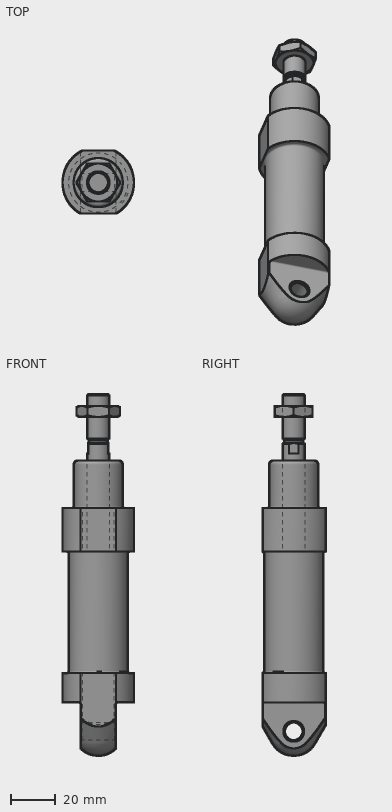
import cadquery as cq
import math

TOTAL_HEIGHT = 162.0
NUT_TOP = 156.8
THREAD_BOTTOM = 142.2
GROOVE_BOTTOM = 139.6
ROD_FLAT_BOTTOM = 135.5
NECK_TOP = 132.4
FRONT_COLLAR_TOP = 111.1
FRONT_COLLAR_BOTTOM = 91.5
REAR_COLLAR_TOP = 37.1
REAR_COLLAR_BOTTOM = 24.0

COLLAR_RADIUS = 16.0
NEAR_FLAT_OFFSET = 14.0
FAR_FLAT_OFFSET = 14.4
TUBE_DIAMETER = 26.5
TUBE_ROOT_FILLET = 0.8
NECK_DIAMETER = 22.0
NECK_FILLET = 2.0
NECK_ROOT_FILLET = 0.5

LUG_HALF_WIDTH = math.sqrt(COLLAR_RADIUS**2 - NEAR_FLAT_OFFSET**2)
LUG_ROOT_FILLET = 0.6
TIP_RADIUS = 11.0
CONE_SLOPE = math.radians(60)
PIVOT_HOLE_DIAMETER = 8.0
PIVOT_HOLE_CHAMFER = 0.6

ROD_DIAMETER = 10.0
ROD_TIP_CHAMFER = 0.6
GROOVE_DIAMETER = 8.6
GROOVE_CHAMFER = (ROD_DIAMETER - GROOVE_DIAMETER) / 2
ROD_ACROSS_FLATS = 9.0
ROD_SOCKET_BOTTOM = FRONT_COLLAR_BOTTOM

NUT_HEIGHT = 5.0
NUT_ACROSS_FLATS = 17.0
NUT_ACROSS_CORNERS = NUT_ACROSS_FLATS / math.cos(math.pi / 6)
NUT_CHAMFER_ANGLE = math.radians(30)


def cylinder(diameter, bottom, top):
    """Cylinder on the Z axis between two heights."""
    return cq.Workplane("XY").workplane(offset=bottom).circle(diameter / 2).extrude(top - bottom)


def root_fillet(diameter, height, radius, direction):
    """Disc that rounds the corner between a shaft and a shoulder; direction is +1 above it, -1 below."""
    shaft_radius = diameter / 2
    diagonal = radius * (1 - math.sqrt(0.5))
    return (
        cq.Workplane("XZ")
        .moveTo(0, height)
        .lineTo(shaft_radius + radius, height)
        .threePointArc(
            (shaft_radius + diagonal, height + direction * diagonal),
            (shaft_radius, height + direction * radius),
        )
        .lineTo(0, height + direction * radius)
        .close()
        .revolve(360, (0, 0, 0), (0, 1, 0))
    )


def trim_to_flats(body):
    """Keep only what lies between the two collar flats."""
    depth = NEAR_FLAT_OFFSET + FAR_FLAT_OFFSET
    slab = cq.Workplane("XY").box(4 * COLLAR_RADIUS, depth, 4 * TOTAL_HEIGHT)
    return body.intersect(slab.translate((0, (FAR_FLAT_OFFSET - NEAR_FLAT_OFFSET) / 2, 0)))


def make_rear_end():
    """Rear collar and pivot lug: a turned blank with a conical, ball-ended tip, cut down to a lug."""
    tangent_radius = TIP_RADIUS * math.sin(CONE_SLOPE)
    tangent_height = TIP_RADIUS * (1 - math.cos(CONE_SLOPE))
    cone_top = tangent_height + (COLLAR_RADIUS - tangent_radius) * math.tan(CONE_SLOPE)
    arc_middle = (
        TIP_RADIUS * math.sin(CONE_SLOPE / 2),
        TIP_RADIUS * (1 - math.cos(CONE_SLOPE / 2)),
    )
    blank = (
        cq.Workplane("XZ")
        .moveTo(0, 0)
        .threePointArc(arc_middle, (tangent_radius, tangent_height))
        .lineTo(COLLAR_RADIUS, cone_top)
        .lineTo(COLLAR_RADIUS, REAR_COLLAR_TOP)
        .lineTo(0, REAR_COLLAR_TOP)
        .close()
        .revolve(360, (0, 0, 0), (0, 1, 0))
    )
    root = LUG_ROOT_FILLET
    below_tip = -TIP_RADIUS
    for side in (-1, 1):
        lug_face = side * LUG_HALF_WIDTH
        outside = side * 2 * COLLAR_RADIUS
        diagonal = root * (1 - math.sqrt(0.5))
        relief = (
            cq.Workplane("XZ")
            .moveTo(lug_face, below_tip)
            .lineTo(lug_face, REAR_COLLAR_BOTTOM - root)
            .threePointArc(
                (lug_face + side * diagonal, REAR_COLLAR_BOTTOM - diagonal),
                (lug_face + side * root, REAR_COLLAR_BOTTOM),
            )
            .lineTo(outside, REAR_COLLAR_BOTTOM)
            .lineTo(outside, below_tip)
            .close()
            .extrude(2 * COLLAR_RADIUS, both=True)
        )
        blank = blank.cut(relief)
    return trim_to_flats(blank)


def cut_pivot_hole(body):
    """Cross hole along X through the centre of the ball tip, chamfered at both mouths."""
    hole_radius = PIVOT_HOLE_DIAMETER / 2
    mouth_radius = hole_radius + PIVOT_HOLE_CHAMFER
    chamfer_start = LUG_HALF_WIDTH - PIVOT_HOLE_CHAMFER
    cutter = (
        cq.Workplane("XZ")
        .moveTo(-LUG_HALF_WIDTH, TIP_RADIUS)
        .lineTo(-LUG_HALF_WIDTH, TIP_RADIUS + mouth_radius)
        .lineTo(-chamfer_start, TIP_RADIUS + hole_radius)
        .lineTo(chamfer_start, TIP_RADIUS + hole_radius)
        .lineTo(LUG_HALF_WIDTH, TIP_RADIUS + mouth_radius)
        .lineTo(LUG_HALF_WIDTH, TIP_RADIUS)
        .close()
        .revolve(360, (0, TIP_RADIUS, 0), (1, TIP_RADIUS, 0))
    )
    return body.cut(cutter)


def make_housing():
    """Tube with front collar, neck and rear lug, bored for the rod."""
    tube = cylinder(TUBE_DIAMETER, REAR_COLLAR_TOP, FRONT_COLLAR_BOTTOM)
    rear_root = trim_to_flats(root_fillet(TUBE_DIAMETER, REAR_COLLAR_TOP, TUBE_ROOT_FILLET, 1))
    front_root = trim_to_flats(root_fillet(TUBE_DIAMETER, FRONT_COLLAR_BOTTOM, TUBE_ROOT_FILLET, -1))
    front_collar = trim_to_flats(cylinder(2 * COLLAR_RADIUS, FRONT_COLLAR_BOTTOM, FRONT_COLLAR_TOP))
    neck_root = root_fillet(NECK_DIAMETER, FRONT_COLLAR_TOP, NECK_ROOT_FILLET, 1)
    neck = cylinder(NECK_DIAMETER, FRONT_COLLAR_TOP, NECK_TOP).faces(">Z").edges().fillet(NECK_FILLET)
    housing = cut_pivot_hole(make_rear_end())
    for section in (tube, rear_root, front_root, front_collar, neck_root, neck):
        housing = housing.union(section)
    return housing.cut(cylinder(ROD_DIAMETER, ROD_SOCKET_BOTTOM, NECK_TOP))


def make_rod():
    """Piston rod with a chamfered tip, an undercut below the thread and two wrench flats."""
    radius = ROD_DIAMETER / 2
    groove_radius = GROOVE_DIAMETER / 2
    rod = (
        cq.Workplane("XZ")
        .moveTo(0, ROD_SOCKET_BOTTOM)
        .lineTo(radius, ROD_SOCKET_BOTTOM)
        .lineTo(radius, GROOVE_BOTTOM)
        .lineTo(groove_radius, GROOVE_BOTTOM + GROOVE_CHAMFER)
        .lineTo(groove_radius, THREAD_BOTTOM - GROOVE_CHAMFER)
        .lineTo(radius, THREAD_BOTTOM)
        .lineTo(radius, TOTAL_HEIGHT - ROD_TIP_CHAMFER)
        .lineTo(radius - ROD_TIP_CHAMFER, TOTAL_HEIGHT)
        .lineTo(0, TOTAL_HEIGHT)
        .close()
        .revolve(360, (0, 0, 0), (0, 1, 0))
    )
    flat_top = GROOVE_BOTTOM + GROOVE_CHAMFER
    flat_height = flat_top - ROD_FLAT_BOTTOM
    for side in (-1, 1):
        cutter = cq.Workplane("XY").box(ROD_DIAMETER, ROD_DIAMETER, flat_height)
        offset = side * (ROD_ACROSS_FLATS + ROD_DIAMETER) / 2
        rod = rod.cut(cutter.translate((offset, 0, ROD_FLAT_BOTTOM + flat_height / 2)))
    return rod


def make_nut():
    """Hexagon nut with corners on the X axis, both ends chamfered by a cone."""
    nut_bottom = NUT_TOP - NUT_HEIGHT
    hexagon = (
        cq.Workplane("XY").workplane(offset=nut_bottom).polygon(6, NUT_ACROSS_CORNERS).extrude(NUT_HEIGHT)
    )
    face_radius = NUT_ACROSS_FLATS / 2
    corner_radius = NUT_ACROSS_CORNERS / 2
    chamfer_drop = (corner_radius - face_radius) * math.tan(NUT_CHAMFER_ANGLE)
    envelope = (
        cq.Workplane("XZ")
        .moveTo(0, nut_bottom)
        .lineTo(face_radius, nut_bottom)
        .lineTo(corner_radius, nut_bottom + chamfer_drop)
        .lineTo(corner_radius, NUT_TOP - chamfer_drop)
        .lineTo(face_radius, NUT_TOP)
        .lineTo(0, NUT_TOP)
        .close()
        .revolve(360, (0, 0, 0), (0, 1, 0))
    )
    return hexagon.intersect(envelope).cut(cylinder(ROD_DIAMETER, nut_bottom, NUT_TOP))


housing = make_housing()
rod = make_rod()
nut = make_nut()

result = cq.Compound.makeCompound([housing.val(), rod.val(), nut.val()])